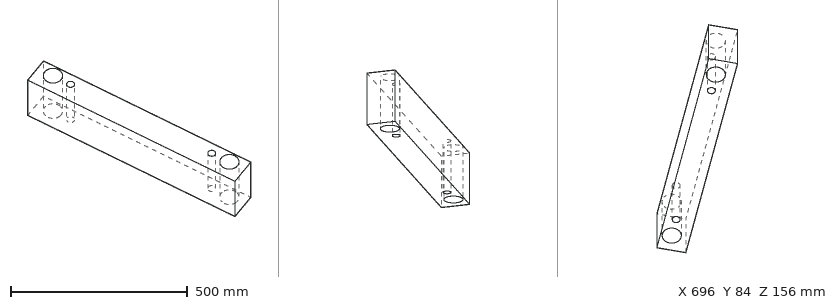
import cadquery as cq

length = 696.0
width = 84.0
height = 156.0

large_diameter = 54.0
large_spacing = 592.0
small_diameter = 22.0
small_spacing = 474.0
hole_line_to_back = 32.0
hole_line_y = width / 2 - hole_line_to_back


def drill_pair(body, diameter, spacing):
    """Cut two equal through holes, symmetric in X, on the hole line."""
    centres = [(side * spacing / 2, hole_line_y) for side in (-1, 1)]
    return body.faces(">Z").workplane(origin=(0, 0, 0)).pushPoints(centres).hole(diameter)


block = cq.Workplane("XY").box(length, width, height)
block = drill_pair(block, large_diameter, large_spacing)
result = drill_pair(block, small_diameter, small_spacing)